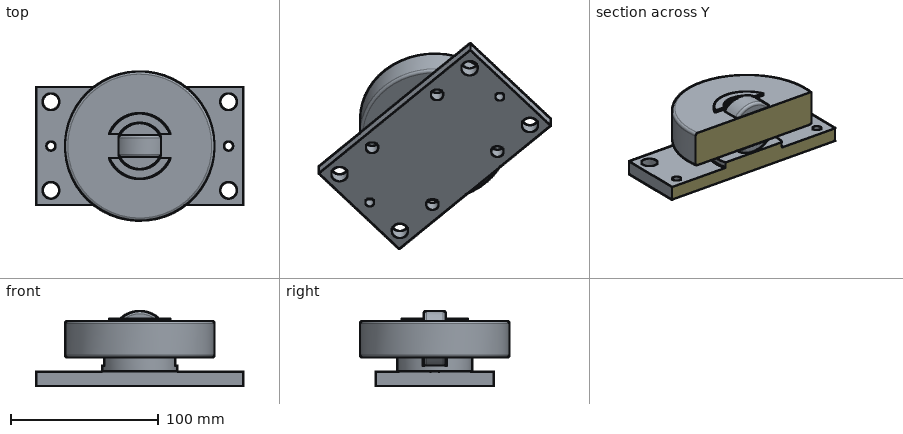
import cadquery as cq

plate_length = 140.0
plate_width = 80.0
plate_thickness = 10.0
hole_x = 60.0
hole_y = 30.0
corner_hole_diameter = 11.0
locating_hole_diameter = 6.0
inner_hole_diameter = 8.4
inner_hole_x = hole_x / 2

hub_diameter = 51.0
hub_foot_flare = 0.4
slot_width = 16.4
slot_floor_z = plate_thickness + 4.0

disc_diameter = 101.2
disc_bottom_z = 19.3
disc_height = 24.9
disc_fillet = 2.0
disc_top_z = disc_bottom_z + disc_height

ring_outer_diameter = 44.8
ring_inner_diameter = 31.0
ring_height = 1.5
ring_chamfer = 0.4

overall_height = 51.0
wheel_radius = 18.8
wheel_width = 15.1
wheel_fillet = 2.0
wheel_center_z = overall_height - wheel_radius


def make_plate():
    """Rectangular plate resting on Z = 0 with all its through holes."""
    corners = [(x, y) for x in (-hole_x, hole_x) for y in (-hole_y, hole_y)]
    inner = [(x, y) for x in (-inner_hole_x, inner_hole_x) for y in (-hole_y, hole_y)]
    plate = cq.Workplane("XY").box(
        plate_length, plate_width, plate_thickness, centered=(True, True, False)
    )
    for points, diameter in (
        (corners, corner_hole_diameter),
        ([(-hole_x, 0), (hole_x, 0)], locating_hole_diameter),
        (inner, inner_hole_diameter),
    ):
        plate = plate.cut(
            cq.Workplane("XY").pushPoints(points).circle(diameter / 2).extrude(plate_thickness)
        )
    return plate


def make_hub():
    """Round column between plate and disc, slotted under the disc and flared at its foot."""
    hub = (
        cq.Workplane("XY", origin=(0, 0, plate_thickness))
        .circle(hub_diameter / 2)
        .extrude(disc_bottom_z - plate_thickness)
    )
    slot = cq.Workplane("XY", origin=(0, 0, slot_floor_z)).box(
        hub_diameter, slot_width, disc_bottom_z - slot_floor_z, centered=(True, True, False)
    )
    foot = cq.Workplane(
        cq.Solid.makeCone(
            hub_diameter / 2 + hub_foot_flare,
            hub_diameter / 2,
            hub_foot_flare,
            pnt=cq.Vector(0, 0, plate_thickness),
        )
    )
    return hub.cut(slot).union(foot)


def make_disc():
    """Large disc with both rims rounded."""
    return (
        cq.Workplane("XY", origin=(0, 0, disc_bottom_z))
        .circle(disc_diameter / 2)
        .extrude(disc_height)
        .edges()
        .fillet(disc_fillet)
    )


def make_split_ring():
    """Two raised ring segments with chamfered rims on either side of the wheel."""
    top = cq.Workplane("XY", origin=(0, 0, disc_top_z))
    ring = top.circle(ring_outer_diameter / 2).circle(ring_inner_diameter / 2).extrude(ring_height)
    ring = ring.faces(">Z").edges().chamfer(ring_chamfer)
    gap = top.box(ring_outer_diameter, slot_width, ring_height, centered=(True, True, False))
    return ring.cut(gap)


def make_wheel():
    """Wheel with rounded rims, standing above the disc and sunk into the slot floor."""
    return (
        cq.Workplane("XZ", origin=(0, 0, wheel_center_z))
        .circle(wheel_radius)
        .extrude(wheel_width / 2, both=True)
        .edges("%CIRCLE")
        .fillet(wheel_fillet)
    )


result = make_plate()
for body in (make_hub(), make_disc(), make_split_ring(), make_wheel()):
    result = result.union(body)